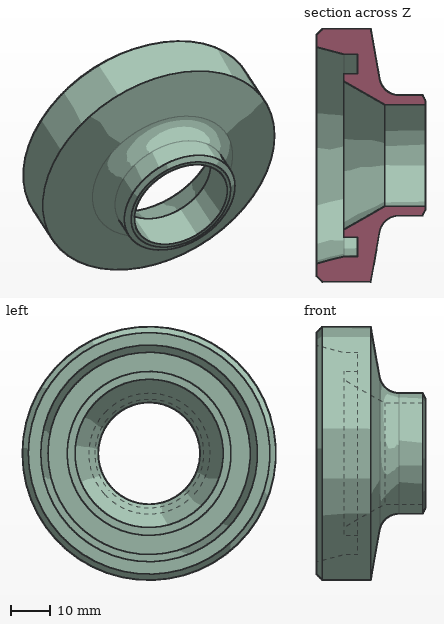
import cadquery as cq
import math

flange_radius = 32.5
flange_width = 14.0
rim_chamfer = 1.55

hub_radius = 31.0 / 2
hub_end = 28.0
hub_chamfer_length = 0.8
hub_chamfer_depth = 1.55
back_slope = math.radians(10)
blend_radius = 5.0

recess_mouth_radius = 27.75
groove_outer_radius = 51.8 / 2
groove_inner_radius = 21.0
seat_depth = 7.0
groove_depth = 10.5

flare_radius = 19.0
bore_radius = 13.0
flare_end = 17.5

blend_radial_start = hub_radius + blend_radius * (1 - math.sin(back_slope))
blend_start = flange_width + (flange_radius - blend_radial_start) * math.tan(back_slope)
blend_end = blend_start + blend_radius * math.cos(back_slope)
blend_mid_angle = (math.pi / 2 + back_slope) / 2
blend_middle = (
    blend_end - blend_radius * math.cos(blend_mid_angle),
    hub_radius + blend_radius * (1 - math.sin(blend_mid_angle)),
)


def revolve_about_x(profile):
    """Turn a closed (X, radius) profile about the X axis."""
    return profile.close().revolve(360, (0, 0, 0), (1, 0, 0))


def outer_body():
    return revolve_about_x(
        cq.Workplane("XY")
        .lineTo(0, flange_radius - rim_chamfer)
        .lineTo(rim_chamfer, flange_radius)
        .lineTo(flange_width, flange_radius)
        .lineTo(blend_start, blend_radial_start)
        .threePointArc(blend_middle, (blend_end, hub_radius))
        .lineTo(hub_end - hub_chamfer_length, hub_radius)
        .lineTo(hub_end, hub_radius - hub_chamfer_depth)
        .lineTo(hub_end, 0)
    )


def inner_cavity():
    return revolve_about_x(
        cq.Workplane("XY")
        .lineTo(0, recess_mouth_radius)
        .lineTo(seat_depth, groove_outer_radius)
        .lineTo(groove_depth, groove_outer_radius)
        .lineTo(groove_depth, groove_inner_radius)
        .lineTo(seat_depth, groove_inner_radius)
        .lineTo(seat_depth, flare_radius)
        .lineTo(flare_end, bore_radius)
        .lineTo(hub_end, bore_radius)
        .lineTo(hub_end, 0)
    )


result = outer_body().cut(inner_cavity())